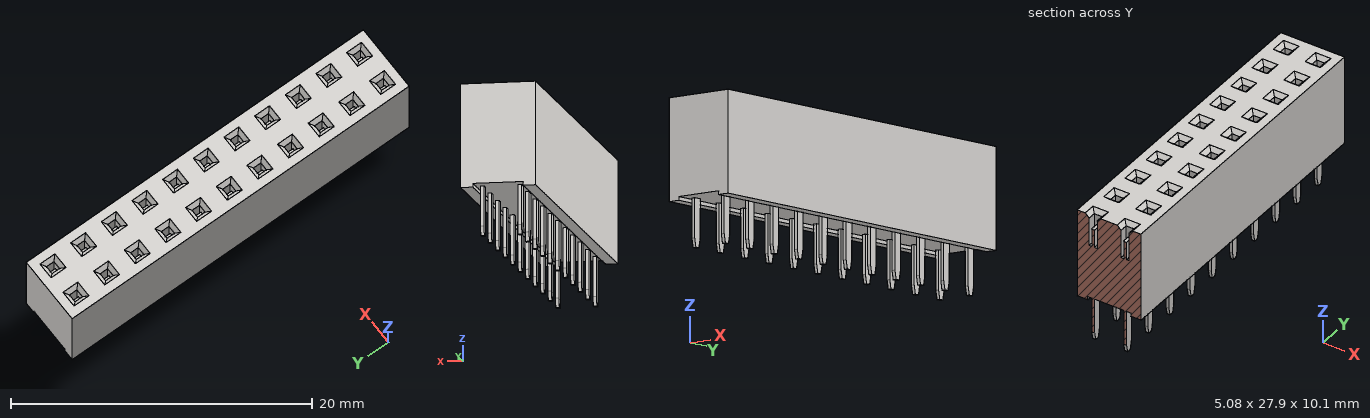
import cadquery as cq

columns = 2
rows = 11
length = 27.95
pitch = length / rows

width = columns * pitch
overall_height = 10.1
housing_height = 7.0
channel_depth = 0.25
rail_width = 0.85
pin_length = overall_height - housing_height

funnel_mouth = 1.23
funnel_throat = 0.61
funnel_depth = (funnel_mouth - funnel_throat) / 2
bore_depth = 2.51

pin_thickness = 0.25
pin_width = 0.6
tip_width = 0.34
tip_length = 0.61
contact_drop = 1.12

centres = [
    ((column - (columns - 1) / 2) * pitch, (row - (rows - 1) / 2) * pitch)
    for column in range(columns)
    for row in range(rows)
]


def make_housing():
    """Rectangular block standing on two rails, with an open channel between them."""
    block = cq.Workplane("XY").box(width, length, housing_height, centered=(True, True, False))
    channel = cq.Workplane("XY").box(
        width - 2 * rail_width, length, channel_depth, centered=(True, True, False)
    )
    return block.cut(channel)


def make_socket():
    """Square funnel leading into a square bore, centred on the Z axis."""
    funnel = (
        cq.Workplane("XY", origin=(0, 0, housing_height))
        .rect(funnel_mouth, funnel_mouth)
        .workplane(offset=-funnel_depth)
        .rect(funnel_throat, funnel_throat)
        .loft(ruled=True)
    )
    bore = (
        cq.Workplane("XY", origin=(0, 0, housing_height - bore_depth))
        .rect(funnel_throat, funnel_throat)
        .extrude(bore_depth - funnel_depth)
    )
    return funnel.union(bore)


def make_pin():
    """Flat blade from inside the bore down to a tapered tip, centred on the Z axis."""
    half_width = pin_width / 2
    half_tip = tip_width / 2
    top = housing_height - contact_drop
    taper_start = -pin_length + tip_length
    return (
        cq.Workplane("YZ")
        .moveTo(-half_width, top)
        .lineTo(half_width, top)
        .lineTo(half_width, taper_start)
        .lineTo(half_tip, -pin_length)
        .lineTo(-half_tip, -pin_length)
        .lineTo(-half_width, taper_start)
        .close()
        .extrude(pin_thickness / 2, both=True)
    )


def at_every_position(shape):
    """Copies of a shape at every column and row."""
    solid = shape.val()
    return cq.Workplane("XY").pushPoints(centres).eachpoint(lambda place: solid.moved(place))


result = make_housing().cut(at_every_position(make_socket())).union(at_every_position(make_pin()))